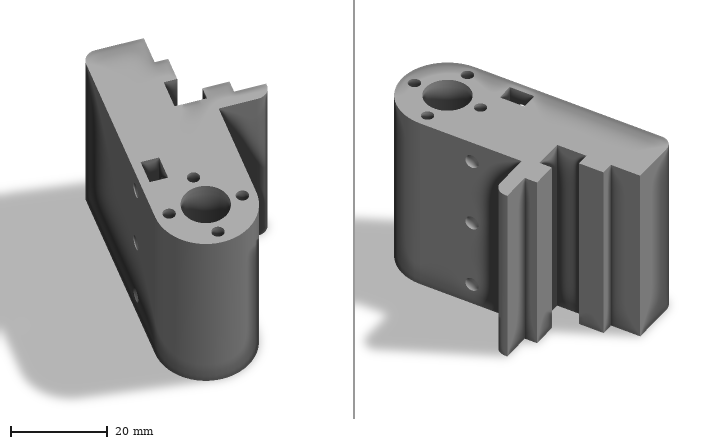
import cadquery as cq

length = 59.0
height = 42.0
body_depth = 22.0
end_radius = body_depth / 2
bore_x = length - end_radius
bore_y = end_radius
corner_radius = 3.0

floor_y = 13.55
wall_x = 20.0
wall_thickness = 3.5
wall_top_y = 33.5
key_width = 5.9
key_height = 2.95
key_offset = (wall_x - key_width) / 2

bore_diameter = 10.4
ring_hole_diameter = 2.8
ring_radius = 7.95
ring_hole_count = 4

cross_hole_diameter = 3.2
cross_hole_x = 35.45
cross_hole_pitch = 16.05
pocket_length = 5.9
pocket_width = 4.0
pocket_y = 2.0
pocket_depth = (height / 2 - cross_hole_pitch) + pocket_length / 2


def make_block(x, y, size_x, size_y):
    """Full-height block with its lower corner at (x, y)."""
    return cq.Workplane("XY").box(size_x, size_y, height, centered=False).translate((x, y, 0))


def make_body():
    wall_outer_x = wall_x + wall_thickness
    body = (
        cq.Workplane("XY")
        .moveTo(0, 0)
        .lineTo(bore_x, 0)
        .threePointArc((length, bore_y), (bore_x, body_depth))
        .lineTo(wall_outer_x, body_depth)
        .lineTo(wall_outer_x, wall_top_y)
        .lineTo(wall_x, wall_top_y)
        .lineTo(wall_x, floor_y)
        .lineTo(0, floor_y)
        .close()
        .extrude(height)
    )
    for x, y in [(0, 0), (wall_outer_x, wall_top_y)]:
        edge = cq.selectors.NearestToPointSelector((x, y, height / 2))
        body = body.edges("|Z").edges(edge).fillet(corner_radius)
    return body


def add_keys(body):
    floor_key = make_block(key_offset, floor_y, key_width, key_height)
    wall_key = make_block(wall_x - key_height, floor_y + key_offset, key_height, key_width)
    return body.union(floor_key).union(wall_key)


def cut_bores(body):
    bore = cq.Workplane("XY").center(bore_x, bore_y).circle(bore_diameter / 2).extrude(height)
    ring = (
        cq.Workplane("XY")
        .center(bore_x, bore_y)
        .polarArray(ring_radius, 0, 360, ring_hole_count)
        .circle(ring_hole_diameter / 2)
        .extrude(height)
    )
    return body.cut(bore).cut(ring)


def cut_cross_holes(body):
    for step in (-1, 0, 1):
        z = height / 2 + step * cross_hole_pitch
        hole = (
            cq.Workplane("XZ")
            .center(cross_hole_x, z)
            .circle(cross_hole_diameter / 2)
            .extrude(-body_depth)
        )
        body = body.cut(hole)
    return body


def cut_nut_pocket(body):
    pocket = cq.Workplane("XY").box(pocket_length, pocket_width, pocket_depth, centered=(True, False, False))
    return body.cut(pocket.translate((cross_hole_x, pocket_y, height - pocket_depth)))


result = cut_nut_pocket(cut_cross_holes(cut_bores(add_keys(make_body()))))